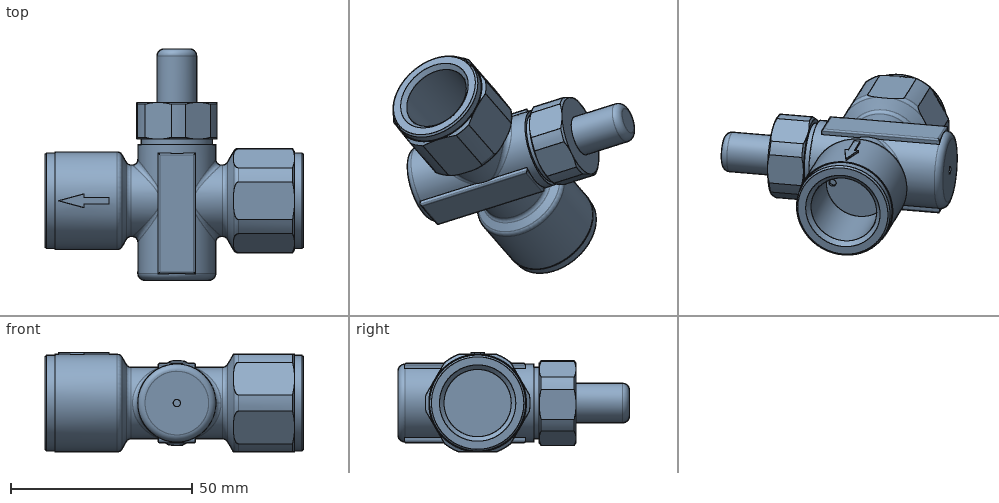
import cadquery as cq
import math


LEFT_END = -36.5
RIGHT_END = 35.0
SPIGOT_DIA = 26.5
LEFT_SPIGOT_LEN = 2.85
RIGHT_SPIGOT_LEN = 2.5
SPIGOT_CHAMFER = 0.5
SOCKET_DIA = 27.0
WRENCH_FLATS = 27.0
WRENCH_CORNER_DIA = 28.95
WRENCH_CHAMFER_LEN = 0.6
NECK_DIA = 19.8
NECK_HALF_LEN = 13.5
FLARE_ANGLE = 60.0
FLARE_FILLET = 1.5

PORT_DIA = 18.6
PORT_MOUTH_DIA = 21.1
PORT_MOUTH_LEN = 1.2
PORT_DEPTH = 20.0
PINHOLE_DIA = 2.0
PINHOLE_DEPTH = 1.0
PINHOLE_OFFSET = 7.5

BARREL_DIA = 21.6
BARREL_BOTTOM = -22.0
BARREL_TOP = 15.5
BARREL_FILLET = 2.0
CROSS_FILLET = 1.4

PLATE_WIDTH = 10.3
PLATE_Y_MIN = -20.15
PLATE_Y_MAX = 13.15
PLATE_HEIGHT = 11.0
PLATE_FILLET = 0.5

ARROW_TIP = -32.7
ARROW_HEAD_LEN = 7.0
ARROW_LEN = 13.95
ARROW_HEAD_WIDTH = 3.8
ARROW_SHAFT_WIDTH = 1.7
ARROW_RISE = 0.5

NUT_FLATS = 22.0
NUT_CORNER_DIA = 23.5
NUT_HEIGHT = 10.15
NUT_CHAMFER_LEN = 0.5
CORNER_UP = 30.0
NUT_TURN = 2.0
COLLAR_DIA = 19.8
COLLAR_HEIGHT = 1.5

SPINDLE_DIA = 11.0
SPINDLE_TOP = 42.0
SPINDLE_FILLET = 2.0


def cylinder_x(dia, start, end):
    """Round bar along X from start to end."""
    return cq.Workplane("YZ").workplane(offset=start).circle(dia / 2).extrude(end - start)


def cylinder_y(dia, start, end):
    """Round bar along Y from start to end."""
    return cq.Workplane("XZ").workplane(offset=-end).circle(dia / 2).extrude(end - start)


def hexagon_dia(flats):
    """Corner-to-corner diameter of a hexagon."""
    return flats / math.cos(math.pi / 6)


def flare_length(dia):
    """Axial length of the cone from the neck up to a diameter."""
    return (dia - NECK_DIA) / 2 / math.tan(math.radians(FLARE_ANGLE))


def flared_socket(dia, end):
    """Neck, cone and round socket turned about X, drawn towards +X from the origin."""
    big = dia / 2
    small = NECK_DIA / 2
    shape = (
        cq.Workplane("XY")
        .moveTo(0, 0)
        .lineTo(0, small)
        .lineTo(NECK_HALF_LEN, small)
        .lineTo(NECK_HALF_LEN + flare_length(dia), big)
        .lineTo(end, big)
        .lineTo(end, 0)
        .close()
        .revolve(360, (0, 0, 0), (1, 0, 0))
    )
    flare_circles = shape.edges("%CIRCLE").edges("not(<X or >X)")
    return flare_circles.fillet(FLARE_FILLET)


def left_socket():
    step = LEFT_END + LEFT_SPIGOT_LEN
    socket = flared_socket(SOCKET_DIA, -step).mirror("YZ")
    spigot = cylinder_x(SPIGOT_DIA, LEFT_END, step).faces("<X").chamfer(SPIGOT_CHAMFER)
    return socket.union(spigot)


def right_socket():
    step = RIGHT_END - RIGHT_SPIGOT_LEN
    corner_cut = (WRENCH_CORNER_DIA - WRENCH_FLATS) / 2
    turned = (
        flared_socket(WRENCH_CORNER_DIA, step)
        .faces(">X")
        .edges()
        .chamfer(WRENCH_CHAMFER_LEN, corner_cut)
    )
    hexagon = (
        cq.Workplane("YZ")
        .polygon(6, hexagon_dia(WRENCH_FLATS))
        .extrude(step)
    )
    spigot = cylinder_x(SPIGOT_DIA, step, RIGHT_END).faces(">X").chamfer(SPIGOT_CHAMFER)
    return turned.intersect(hexagon).union(spigot)


def barrel():
    return cylinder_y(BARREL_DIA, BARREL_BOTTOM, BARREL_TOP).faces("<Y").edges().fillet(BARREL_FILLET)


def label_plates():
    """One block through the barrel whose top and bottom faces are the two plates."""
    return (
        cq.Workplane("XY")
        .box(PLATE_WIDTH, PLATE_Y_MAX - PLATE_Y_MIN, 2 * PLATE_HEIGHT)
        .translate((0, (PLATE_Y_MAX + PLATE_Y_MIN) / 2, 0))
        .faces("<Z or >Z")
        .edges()
        .fillet(PLATE_FILLET)
    )


def flow_arrow():
    head_base = ARROW_TIP + ARROW_HEAD_LEN
    tail = ARROW_TIP + ARROW_LEN
    root = SOCKET_DIA / 2 - ARROW_RISE
    return (
        cq.Workplane("XY")
        .workplane(offset=root)
        .polyline([
            (ARROW_TIP, 0),
            (head_base, ARROW_HEAD_WIDTH / 2),
            (head_base, ARROW_SHAFT_WIDTH / 2),
            (tail, ARROW_SHAFT_WIDTH / 2),
            (tail, -ARROW_SHAFT_WIDTH / 2),
            (head_base, -ARROW_SHAFT_WIDTH / 2),
            (head_base, -ARROW_HEAD_WIDTH / 2),
        ])
        .close()
        .extrude(SOCKET_DIA / 2 + ARROW_RISE - root)
    )


def port(end, inward):
    """Blind port with a tapered mouth; inward is +1 or -1 along X."""
    return (
        cq.Workplane("XY")
        .moveTo(end, 0)
        .lineTo(end, PORT_MOUTH_DIA / 2)
        .lineTo(end + inward * PORT_MOUTH_LEN, PORT_DIA / 2)
        .lineTo(end + inward * PORT_DEPTH, PORT_DIA / 2)
        .lineTo(end + inward * PORT_DEPTH, 0)
        .close()
        .revolve(360, (0, 0, 0), (1, 0, 0))
    )


def pinholes():
    floor = LEFT_END + PORT_DEPTH
    in_port = cylinder_x(PINHOLE_DIA, floor, floor + PINHOLE_DEPTH).translate((0, PINHOLE_OFFSET, 0))
    in_barrel = cylinder_y(PINHOLE_DIA, BARREL_BOTTOM, BARREL_BOTTOM + PINHOLE_DEPTH)
    return in_port.union(in_barrel)


def make_valve_body():
    run = left_socket().union(right_socket())
    crossing = cq.selectors.BoxSelector(
        (-BARREL_DIA / 2, -BARREL_DIA / 2, -BARREL_DIA / 2),
        (BARREL_DIA / 2, BARREL_DIA / 2, BARREL_DIA / 2))
    body = run.union(barrel()).edges(crossing).fillet(CROSS_FILLET)
    body = body.union(label_plates()).union(flow_arrow())
    return body.cut(port(LEFT_END, 1)).cut(port(RIGHT_END, -1)).cut(pinholes())


def make_gland_nut():
    """Hexagon with turned corners on a round collar, bored for the spindle."""
    base = BARREL_TOP + COLLAR_HEIGHT
    top = base + NUT_HEIGHT
    hexagon = (
        cq.Workplane("XZ")
        .workplane(offset=-top)
        .polygon(6, hexagon_dia(NUT_FLATS))
        .extrude(NUT_HEIGHT)
        .rotate((0, 0, 0), (0, 1, 0), CORNER_UP + NUT_TURN)
    )
    corner_cut = (NUT_CORNER_DIA - NUT_FLATS) / 2
    turned = (
        cylinder_y(NUT_CORNER_DIA, base, top)
        .faces("<Y or >Y")
        .edges()
        .chamfer(NUT_CHAMFER_LEN, corner_cut)
    )
    collar = cylinder_y(COLLAR_DIA, BARREL_TOP, base)
    bore = cylinder_y(SPINDLE_DIA, BARREL_TOP, top)
    return hexagon.intersect(turned).union(collar).cut(bore)


def make_spindle():
    """Plain rod standing on the barrel and passing through the nut."""
    return cylinder_y(SPINDLE_DIA, BARREL_TOP, SPINDLE_TOP).faces(">Y").edges().fillet(SPINDLE_FILLET)


valve_body = make_valve_body()
gland_nut = make_gland_nut()
spindle = make_spindle()

result = cq.Compound.makeCompound([
    valve_body.solids().val(),
    gland_nut.solids().val(),
    spindle.solids().val(),
])